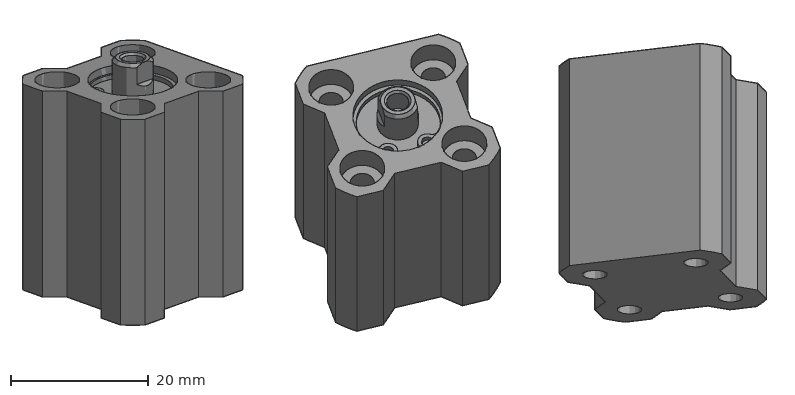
import cadquery as cq
import math

WIDTH = 25.0
TOTAL_HEIGHT = 35.5
HOUSING_HEIGHT = 32.0

NOTCH_DEPTH = 2.5
NOTCH_FLOOR_WIDTH = 7.03
CORNER_SETBACK = 2.5

SCREW_PITCH = 15.48
SCREW_HOLE_DIAMETER = 3.5
COUNTERBORE_DIAMETER = 6.5
COUNTERBORE_DEPTH = 3.5

RECESS_DIAMETER = 13.0
RECESS_DEPTH = 1.9

RING_OUTER_RADIUS = 7.0
RING_INNER_RADIUS = 6.1
RING_INNER_SHIFT = 0.3
RING_THICKNESS = 0.7
EAR_X = 2.98
EAR_Y = -4.95
EAR_RADIUS = 1.42
EAR_HOLE_DIAMETER = 1.65
EAR_FILLET = 1.05

ROD_DIAMETER = 6.0
ROD_CHAMFER = 0.5
FLAT_LENGTH = 3.1
THREAD_HOLE_DIAMETER = 3.2
THREAD_HOLE_DEPTH = 3.9
THREAD_HOLE_CHAMFER = 0.32

HALF_WIDTH = WIDTH / 2
RECESS_FLOOR_Z = HOUSING_HEIGHT - RECESS_DEPTH
GROOVE_Z = RECESS_FLOOR_Z
ROD_LENGTH = TOTAL_HEIGHT - RECESS_FLOOR_Z
FLAT_HALF_WIDTH = ROD_DIAMETER / 2 - ROD_CHAMFER


def cylinder(diameter, height, z):
    """Upright cylinder on the main axis with its base at z."""
    return cq.Workplane("XY").workplane(offset=z).circle(diameter / 2).extrude(height)


def side_notch():
    """Notch with 45 degree walls, along the full height of the -Y side."""
    inner = NOTCH_FLOOR_WIDTH / 2
    outer = inner + NOTCH_DEPTH
    floor_y = NOTCH_DEPTH - HALF_WIDTH
    corners = [(-outer, -HALF_WIDTH), (outer, -HALF_WIDTH), (inner, floor_y), (-inner, floor_y)]
    return cq.Workplane("XY").polyline(corners).close().extrude(HOUSING_HEIGHT)


def make_housing():
    corner_radius = math.hypot(HALF_WIDTH, HALF_WIDTH - CORNER_SETBACK)
    body = cq.Workplane("XY").rect(WIDTH, WIDTH).extrude(HOUSING_HEIGHT)

    body = body.intersect(cylinder(2 * corner_radius, HOUSING_HEIGHT, 0))

    for angle in (-90, 0, 90):
        body = body.cut(side_notch().rotate((0, 0, 0), (0, 0, 1), angle))

    body = (
        body.faces(">Z").workplane(origin=(0, 0, HOUSING_HEIGHT))
        .rect(SCREW_PITCH, SCREW_PITCH, forConstruction=True).vertices()
        .cboreHole(SCREW_HOLE_DIAMETER, COUNTERBORE_DIAMETER, COUNTERBORE_DEPTH)
    )

    body = body.cut(cylinder(RECESS_DIAMETER, RECESS_DEPTH, RECESS_FLOOR_Z))
    return body.cut(cylinder(2 * RING_OUTER_RADIUS, RING_THICKNESS, GROOVE_Z))


def make_retaining_ring():
    base = cq.Workplane("XY").workplane(offset=GROOVE_Z)
    outer_disc = base.circle(RING_OUTER_RADIUS).extrude(RING_THICKNESS)
    inner_disc = base.center(0, -RING_INNER_SHIFT).circle(RING_INNER_RADIUS).extrude(RING_THICKNESS)
    ear_places = [(-EAR_X, EAR_Y), (EAR_X, EAR_Y)]

    gap = base.center(0, -RING_OUTER_RADIUS).rect(2 * EAR_X, RING_OUTER_RADIUS).extrude(RING_THICKNESS)
    ring = outer_disc.cut(inner_disc).cut(gap)

    ears = base.pushPoints(ear_places).circle(EAR_RADIUS).extrude(RING_THICKNESS)
    ring = ring.union(ears.intersect(outer_disc))
    for side in (-1, 1):
        inner_corner = (side * (EAR_X + EAR_RADIUS), EAR_Y, GROOVE_Z + RING_THICKNESS / 2)
        ring = ring.edges("|Z").edges(cq.NearestToPointSelector(inner_corner)).fillet(EAR_FILLET)

    return ring.cut(base.pushPoints(ear_places).circle(EAR_HOLE_DIAMETER / 2).extrude(RING_THICKNESS))


def make_rod():
    rod = cylinder(ROD_DIAMETER, ROD_LENGTH, RECESS_FLOOR_Z)
    rod = rod.faces(">Z").chamfer(ROD_CHAMFER)

    flat_end_z = TOTAL_HEIGHT - FLAT_LENGTH
    for side in (-1, 1):
        flat_outline = [
            (side * FLAT_HALF_WIDTH, TOTAL_HEIGHT),
            (side * FLAT_HALF_WIDTH, flat_end_z),
            (side * (FLAT_HALF_WIDTH + FLAT_LENGTH), flat_end_z - FLAT_LENGTH),
            (side * (FLAT_HALF_WIDTH + FLAT_LENGTH), TOTAL_HEIGHT),
        ]
        flat_cut = cq.Workplane("XZ").polyline(flat_outline).close().extrude(ROD_DIAMETER / 2, both=True)
        rod = rod.cut(flat_cut)

    countersink_diameter = THREAD_HOLE_DIAMETER + 2 * THREAD_HOLE_CHAMFER
    return (
        rod.faces(">Z").workplane(origin=(0, 0, TOTAL_HEIGHT))
        .cskHole(THREAD_HOLE_DIAMETER, countersink_diameter, 90, THREAD_HOLE_DEPTH)
    )


housing = make_housing()
retaining_ring = make_retaining_ring()
rod = make_rod()

result = cq.Compound.makeCompound([housing.val(), retaining_ring.val(), rod.val()])